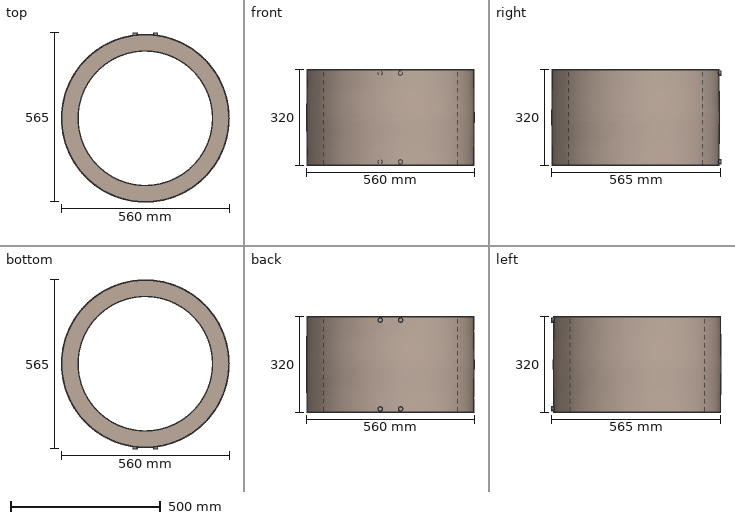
import cadquery as cq

band_radius = 280.0
end_radius = 278.5
bore_radius = 224.0
height = 320.0
band_height = 26.0

pin_diameter = 14.5
pin_tip_y = 285.0
pin_root_y = (band_radius + bore_radius) / 2
pin_spacing = 68.0
pin_end_inset = 12.0

half_height = height / 2
half_band = band_height / 2


def make_sleeve():
    """Revolve the wall section about the Z axis."""
    wall_section = [
        (bore_radius, -half_height),
        (end_radius, -half_height),
        (band_radius, -half_band),
        (band_radius, half_band),
        (end_radius, half_height),
        (bore_radius, half_height),
    ]
    return cq.Workplane("XZ").polyline(wall_section).close().revolve(360, (0, 0), (0, 1))


def make_pin(x, z):
    """Round pin along +Y, from inside the wall to its tip."""
    axis_plane = cq.Plane(origin=(x, pin_root_y, z), xDir=(1, 0, 0), normal=(0, 1, 0))
    return cq.Workplane(axis_plane).circle(pin_diameter / 2).extrude(pin_tip_y - pin_root_y)


result = make_sleeve()
pin_x = pin_spacing / 2
pin_z = half_height - pin_end_inset
for x in (-pin_x, pin_x):
    for z in (-pin_z, pin_z):
        result = result.union(make_pin(x, z))